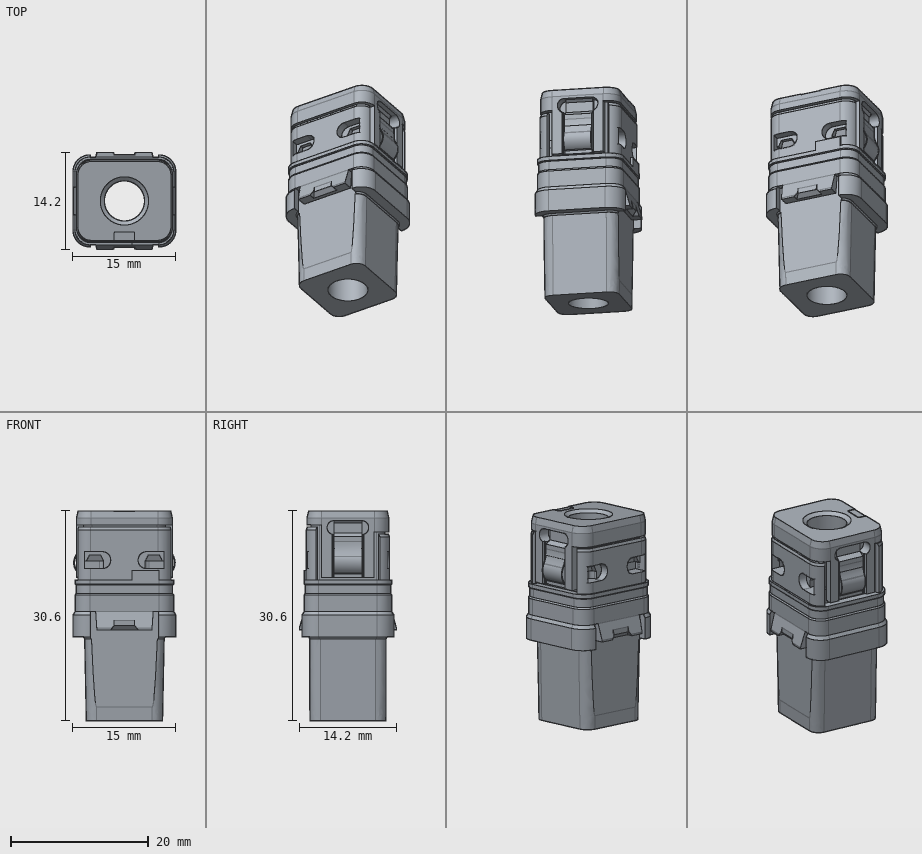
import cadquery as cq
import math

TOTAL_HEIGHT = 30.55
FLARE_BOTTOM = 11.95
SKIRT_BOTTOM = 12.22
SKIRT_SHOULDER = 15.4
RING_BOTTOM = 15.92
RING_SHOULDER = 18.3
RING_TOP = 18.55
LIP_BOTTOM = 19.8
LIP_TOP = 20.5
TONGUE_BOTTOM = 20.87

RING_X = 14.35
RING_Y = 12.77
RING_RADIUS = 2.15
NECK_INSET = 0.15
SKIRT_OVERHANG = 0.32
SKIRT_GAP_WIDTH = 9.9
LIP_CHAMFER = 0.12

BODY_BOTTOM_X = 11.12
BODY_BOTTOM_Y = 11.05
BODY_BOTTOM_RADIUS = 1.53
BODY_GROWTH_X = 0.04
BODY_GROWTH_Y = 0.03
BODY_FLAT_Y = 11.12
FLARE_GROWTH = 0.3

HOOK_SPAN = 14.15
HOOK_BOTTOM = 13.25
HOOK_TIP_HEIGHT = 0.25
HOOK_TOP_WIDTH = 8.37
HOOK_BOTTOM_WIDTH = 8.0
NOTCH_WIDTH = 3.0
NOTCH_MOUTH_WIDTH = 3.97
NOTCH_Y = 6.75
NOTCH_BEVEL = 0.6

CAP_X = 14.0
CAP_Y = 11.95
CAP_RADIUS = 2.15
CAP_FRONT_BOTTOM = 28.5
CAP_REAR_BOTTOM = 27.47
CAP_BEVEL_HEIGHT = 1.05
CAP_BEVEL_INSET = 0.25
TONGUE_WIDTH = 7.65
CORE_X = 11.92
CORE_Y = 10.75
CORE_RADIUS = 1.22

HOLE_DIAMETER = 5.8
HOLE_MOUTH_DIAMETER = 7.03
HOLE_MOUTH_DEPTH = 0.45
MARK_WIDTH = 3.0
MARK_INNER_Y = -4.5
MARK_RADIUS = 0.25
MARK_DEPTH = 0.1

SHELL_X = 13.7
SHELL_Y = 12.13
SHELL_RADIUS = 1.93
SHELL_END_Y = 4.43
SHELL_END_ROUND = 0.45
SHELL_FRONT_TOP = 28.25
SHELL_REAR_TOP = 27.2
SHELL_BEVEL_HEIGHT = 0.43
SHELL_BEVEL_INSET = 0.15

WINDOW_OUTER_X = 5.78
WINDOW_INNER_X = 2.0
WINDOW_BOTTOM = 22.15
WINDOW_TOP = 24.63
WINDOW_FLOOR_Y = 4.8
RECESS_FLOOR_Y = 3.88
RECESS_WIDTH = 2.75
RECESS_TOP = 23.25
RECESS_ROUND = 0.58
HOLLOW_TOP = 24.17
HOLLOW_TOP_Y = 4.25
HOLLOW_TOP_WIDTH = 1.6
HOLLOW_BOTTOM_WIDTH = 2.5

TAB_START_X = 1.1
TAB_END_X = 5.0
TAB_TOP = 21.9

POCKET_FLOOR_X = 5.2
POCKET_WIDTH = 4.7
POCKET_STEP_X = 6.57
POCKET_INNER_WIDTH = 4.35
POCKET_TOP = 29.15
POCKET_HEAD_WIDTH = 6.05
POCKET_HEAD_HEIGHT = 2.05
SPRING_WIDTH = 4.03
SPRING_TIP_X = 7.4
SPRING_TIP_Z = 23.0
SPRING_RADIUS = 2.0
SPRING_END_Z = 21.35
SPRING_INFLECTION_Z = 23.95
SPRING_STRAIGHT_Z = 26.1
SPRING_BEND_Z = 26.8
SPRING_STEP_Z = 27.32
SPRING_HEAD_TOP = 28.8
SPRING_STEP = 0.75
SPRING_THICKNESS = 0.15

CUT_MARGIN = 3.05


def rounded_block(size_x, size_y, radius, bottom, top):
    sketch = cq.Sketch().rect(size_x, size_y).vertices().fillet(radius)
    return cq.Workplane("XY", origin=(0, 0, bottom)).placeSketch(sketch).extrude(top - bottom)


def rounded_taper(size_x, size_y, radius, bottom, top, growth_x, growth_y):
    """Rounded block whose widths change evenly from bottom to top by the given amounts."""
    lower = cq.Sketch().rect(size_x, size_y).vertices().fillet(radius)
    upper_radius = radius + min(growth_x, growth_y) / 2
    upper = cq.Sketch().rect(size_x + growth_x, size_y + growth_y).vertices().fillet(upper_radius)
    rise = cq.Location(cq.Vector(0, 0, top - bottom))
    return cq.Workplane("XY", origin=(0, 0, bottom)).placeSketch(lower, upper.moved(rise)).loft()


def box(x_range, y_range, z_range):
    (x0, x1), (y0, y1), (z0, z1) = x_range, y_range, z_range
    return cq.Workplane("XY").box(x1 - x0, y1 - y0, z1 - z0, centered=False).translate((x0, y0, z0))


def front_and_rear(front):
    return front.union(front.mirror("XZ"))


def both_sides(side):
    return side.union(side.mirror("YZ"))


def extrude_along_x(points, width):
    """Profile of (y, z) points, centred on X."""
    return cq.Workplane("YZ").polyline(points).close().extrude(width / 2, both=True)


def extrude_to_front(points):
    """Profile of (x, z) points, running from the middle plane to the front."""
    return cq.Workplane("XZ").polyline(points).close().extrude(RING_Y)


def trapezoid(bottom_width, top_width, bottom, top):
    foot = bottom_width / 2
    head = top_width / 2
    return [(-foot, bottom), (foot, bottom), (head, top), (-head, top)]


def plug_body():
    height = RING_BOTTOM
    body = rounded_taper(BODY_BOTTOM_X, BODY_BOTTOM_Y, BODY_BOTTOM_RADIUS, 0, height,
                         BODY_GROWTH_X * height, BODY_GROWTH_Y * height)
    half_flat = BODY_FLAT_Y / 2
    return body.intersect(box((-RING_X, RING_X), (-half_flat, half_flat), (0, height)))


def skirt():
    size_x = RING_X + 2 * SKIRT_OVERHANG
    size_y = RING_Y + 2 * SKIRT_OVERHANG
    radius = RING_RADIUS + SKIRT_OVERHANG
    wall = rounded_block(size_x, size_y, radius, SKIRT_BOTTOM, SKIRT_SHOULDER)
    shoulder = rounded_taper(size_x, size_y, radius, SKIRT_SHOULDER, RING_BOTTOM,
                             -2 * SKIRT_OVERHANG, -2 * SKIRT_OVERHANG)
    body_x = BODY_BOTTOM_X + BODY_GROWTH_X * FLARE_BOTTOM
    body_y = BODY_BOTTOM_Y + BODY_GROWTH_Y * FLARE_BOTTOM
    flare = rounded_taper(body_x, body_y, BODY_BOTTOM_RADIUS, FLARE_BOTTOM, SKIRT_BOTTOM,
                          FLARE_GROWTH, FLARE_GROWTH)
    half_gap = SKIRT_GAP_WIDTH / 2
    gap = box((-half_gap, half_gap), (-RING_Y, -BODY_FLAT_Y / 2), (FLARE_BOTTOM, RING_BOTTOM))
    return wall.union(shoulder).union(flare).cut(front_and_rear(gap))


def hooks():
    tip_y = HOOK_SPAN / 2
    tip_top = HOOK_BOTTOM + HOOK_TIP_HEIGHT
    profile = [(0, HOOK_BOTTOM), (-tip_y, HOOK_BOTTOM), (-tip_y, tip_top),
               (-RING_Y / 2, RING_BOTTOM), (0, RING_BOTTOM)]
    outline = trapezoid(HOOK_BOTTOM_WIDTH, HOOK_TOP_WIDTH, HOOK_BOTTOM, RING_BOTTOM)
    hook = extrude_along_x(profile, HOOK_TOP_WIDTH).intersect(extrude_to_front(outline))

    bevel_top = HOOK_BOTTOM + NOTCH_BEVEL
    notch_profile = [(-NOTCH_Y, RING_BOTTOM), (-NOTCH_Y, bevel_top), (NOTCH_BEVEL - NOTCH_Y, HOOK_BOTTOM),
                     (-RING_Y, HOOK_BOTTOM), (-RING_Y, RING_BOTTOM)]
    flare = trapezoid(NOTCH_MOUTH_WIDTH, NOTCH_WIDTH, HOOK_BOTTOM, bevel_top)
    slot = trapezoid(NOTCH_WIDTH, NOTCH_WIDTH, bevel_top, RING_BOTTOM)
    notch_outline = extrude_to_front(flare).union(extrude_to_front(slot))
    notch = extrude_along_x(notch_profile, NOTCH_MOUTH_WIDTH).intersect(notch_outline)
    return front_and_rear(hook.cut(notch))


def collar():
    ring = rounded_block(RING_X, RING_Y, RING_RADIUS, RING_BOTTOM, RING_SHOULDER)
    shoulder = rounded_taper(RING_X, RING_Y, RING_RADIUS, RING_SHOULDER, RING_TOP,
                             -2 * NECK_INSET, -2 * NECK_INSET)
    neck = rounded_block(RING_X - 2 * NECK_INSET, RING_Y - 2 * NECK_INSET, RING_RADIUS - NECK_INSET,
                         RING_BOTTOM, LIP_TOP)
    lip = rounded_block(RING_X, RING_Y, RING_RADIUS, LIP_BOTTOM, LIP_TOP)
    lip = lip.faces("<Z").edges().chamfer(LIP_CHAMFER)
    tab = box((TAB_START_X, TAB_END_X), (-RING_Y / 2, 0), (LIP_TOP, TAB_TOP))
    return ring.union(shoulder).union(neck).union(lip).union(tab)


def cap():
    bevel_bottom = TOTAL_HEIGHT - CAP_BEVEL_HEIGHT
    wall = rounded_block(CAP_X, CAP_Y, CAP_RADIUS, LIP_TOP, bevel_bottom)
    bevel = rounded_taper(CAP_X, CAP_Y, CAP_RADIUS, bevel_bottom, TOTAL_HEIGHT,
                          -2 * CAP_BEVEL_INSET, -2 * CAP_BEVEL_INSET)
    half_tongue = TONGUE_WIDTH / 2
    front_clear = box((-CAP_X, CAP_X), (-CAP_Y, -half_tongue), (LIP_TOP, CAP_FRONT_BOTTOM))
    rear_clear = box((-CAP_X, CAP_X), (half_tongue, CAP_Y), (LIP_TOP, CAP_REAR_BOTTOM))
    tongue_clear = box((-CAP_X, CAP_X), (-half_tongue, half_tongue), (LIP_TOP, TONGUE_BOTTOM))
    core = rounded_block(CORE_X, CORE_Y, CORE_RADIUS, LIP_TOP, bevel_bottom)
    return wall.union(bevel).cut(front_clear).cut(rear_clear).cut(tongue_clear).union(core)


def shell_half(top):
    """Front half of the shell, with its two ends rounded."""
    bevel_bottom = top - SHELL_BEVEL_HEIGHT
    wall = rounded_block(SHELL_X, SHELL_Y, SHELL_RADIUS, LIP_TOP, bevel_bottom)
    bevel = rounded_taper(SHELL_X, SHELL_Y, SHELL_RADIUS, bevel_bottom, top,
                          -2 * SHELL_BEVEL_INSET, -2 * SHELL_BEVEL_INSET)
    half = box((-SHELL_X / 2, SHELL_X / 2), (-SHELL_Y, -SHELL_END_Y), (LIP_TOP, top))
    half = half.edges("|Z and >Y").fillet(SHELL_END_ROUND)
    return wall.union(bevel).intersect(half)


def windows():
    """Openings with one round end each, towards the middle."""
    radius = (WINDOW_TOP - WINDOW_BOTTOM) / 2
    round_x = WINDOW_INNER_X + radius
    opening = (
        cq.Workplane("XZ", origin=(0, -WINDOW_FLOOR_Y, 0))
        .moveTo(WINDOW_OUTER_X, WINDOW_BOTTOM)
        .lineTo(WINDOW_OUTER_X, WINDOW_TOP)
        .lineTo(round_x, WINDOW_TOP)
        .threePointArc((WINDOW_INNER_X, WINDOW_BOTTOM + radius), (round_x, WINDOW_BOTTOM))
        .close()
        .extrude(CUT_MARGIN)
    )
    return both_sides(front_and_rear(opening))


def latch_recesses():
    """Pocket at the foot of each window, under a hollow whose back slopes outward as it rises."""
    inner_x = WINDOW_OUTER_X - RECESS_WIDTH
    pocket = box((inner_x, WINDOW_OUTER_X), (-WINDOW_FLOOR_Y, -RECESS_FLOOR_Y), (WINDOW_BOTTOM, RECESS_TOP))
    pocket = pocket.edges("|Z and <X and >Y").fillet(RECESS_ROUND)
    profile = [(-WINDOW_FLOOR_Y, RECESS_TOP), (-RECESS_FLOOR_Y, RECESS_TOP),
               (-HOLLOW_TOP_Y, HOLLOW_TOP), (-WINDOW_FLOOR_Y, HOLLOW_TOP)]
    outline = trapezoid(HOLLOW_BOTTOM_WIDTH, HOLLOW_TOP_WIDTH, RECESS_TOP, HOLLOW_TOP)
    hollow = extrude_along_x(profile, HOLLOW_BOTTOM_WIDTH).intersect(extrude_to_front(outline))
    hollow = hollow.translate((inner_x + HOLLOW_BOTTOM_WIDTH / 2, 0, 0))
    return both_sides(front_and_rear(pocket.union(hollow)))


def spring_pockets():
    head_z = POCKET_TOP - POCKET_HEAD_HEIGHT / 2
    plane = cq.Workplane("YZ", origin=(POCKET_FLOOR_X, 0, 0))
    head = plane.center(0, head_z).slot2D(POCKET_HEAD_WIDTH, POCKET_HEAD_HEIGHT).extrude(CUT_MARGIN)
    pocket = head
    for width, floor_x in ((POCKET_WIDTH, POCKET_STEP_X), (POCKET_INNER_WIDTH, POCKET_FLOOR_X)):
        channel = box((floor_x, floor_x + CUT_MARGIN), (-width / 2, width / 2), (TONGUE_BOTTOM, head_z))
        pocket = pocket.union(channel)
    return both_sides(pocket)


def springs():
    """Bulging leaf: a convex arc that runs through a concave arc into a straight, stepped head."""
    centre_x = SPRING_TIP_X - SPRING_RADIUS

    def bulge_x(z):
        return centre_x + math.sqrt(SPRING_RADIUS**2 - (z - SPRING_TIP_Z) ** 2)

    slope = math.asin((SPRING_INFLECTION_Z - SPRING_TIP_Z) / SPRING_RADIUS)
    concave_radius = (SPRING_STRAIGHT_Z - SPRING_INFLECTION_Z) / math.sin(slope)
    straight_x = bulge_x(SPRING_INFLECTION_Z) - concave_radius * (1 - math.cos(slope))
    concave_mid = (
        straight_x + concave_radius * (1 - math.cos(slope / 2)),
        SPRING_STRAIGHT_Z - concave_radius * math.sin(slope / 2),
    )
    head_x = straight_x - SPRING_STEP
    end_x = bulge_x(SPRING_END_Z)
    leaf = (
        cq.Workplane("XZ")
        .moveTo(0, TONGUE_BOTTOM)
        .lineTo(end_x, TONGUE_BOTTOM)
        .lineTo(end_x, SPRING_END_Z)
        .threePointArc((SPRING_TIP_X, SPRING_TIP_Z), (bulge_x(SPRING_INFLECTION_Z), SPRING_INFLECTION_Z))
        .threePointArc(concave_mid, (straight_x, SPRING_STRAIGHT_Z))
        .lineTo(straight_x, SPRING_BEND_Z)
        .lineTo(head_x, SPRING_STEP_Z)
        .lineTo(head_x, SPRING_HEAD_TOP)
        .lineTo(head_x + SPRING_STEP / 2, POCKET_TOP)
        .lineTo(0, POCKET_TOP)
        .close()
        .extrude(SPRING_WIDTH / 2, both=True)
    )
    leaf_y = (-SPRING_WIDTH / 2, SPRING_WIDTH / 2)
    behind = box((POCKET_STEP_X, SPRING_TIP_X), leaf_y, (SPRING_END_Z, SPRING_STRAIGHT_Z))
    hollow = leaf.translate((-SPRING_THICKNESS, 0, 0)).intersect(behind)
    reach = box((POCKET_FLOOR_X, SPRING_TIP_X), leaf_y, (TONGUE_BOTTOM, POCKET_TOP))
    return both_sides(leaf.intersect(reach).cut(hollow))


def cable_hole():
    hole = cq.Workplane("XY").circle(HOLE_DIAMETER / 2).extrude(TOTAL_HEIGHT)
    mouth = cq.Workplane("XY", origin=(0, 0, TOTAL_HEIGHT - HOLE_MOUTH_DEPTH)).circle(HOLE_DIAMETER / 2)
    mouth = mouth.workplane(offset=HOLE_MOUTH_DEPTH).circle(HOLE_MOUTH_DIAMETER / 2).loft()
    return hole.union(mouth)


def top_mark():
    half_width = MARK_WIDTH / 2
    floor = TOTAL_HEIGHT - MARK_DEPTH
    mark = box((-half_width, half_width), (-CAP_Y / 2, MARK_INNER_Y), (floor, TOTAL_HEIGHT))
    return mark.edges("|Z and >Y").fillet(MARK_RADIUS)


front_shell = shell_half(SHELL_FRONT_TOP)
rear_shell = shell_half(SHELL_REAR_TOP).mirror("XZ")
head = cap().union(front_shell).union(rear_shell).cut(windows()).cut(latch_recesses())
head = head.cut(spring_pockets()).union(springs())
result = plug_body().union(skirt()).union(hooks()).union(collar()).union(head)
result = result.cut(cable_hole()).cut(top_mark())